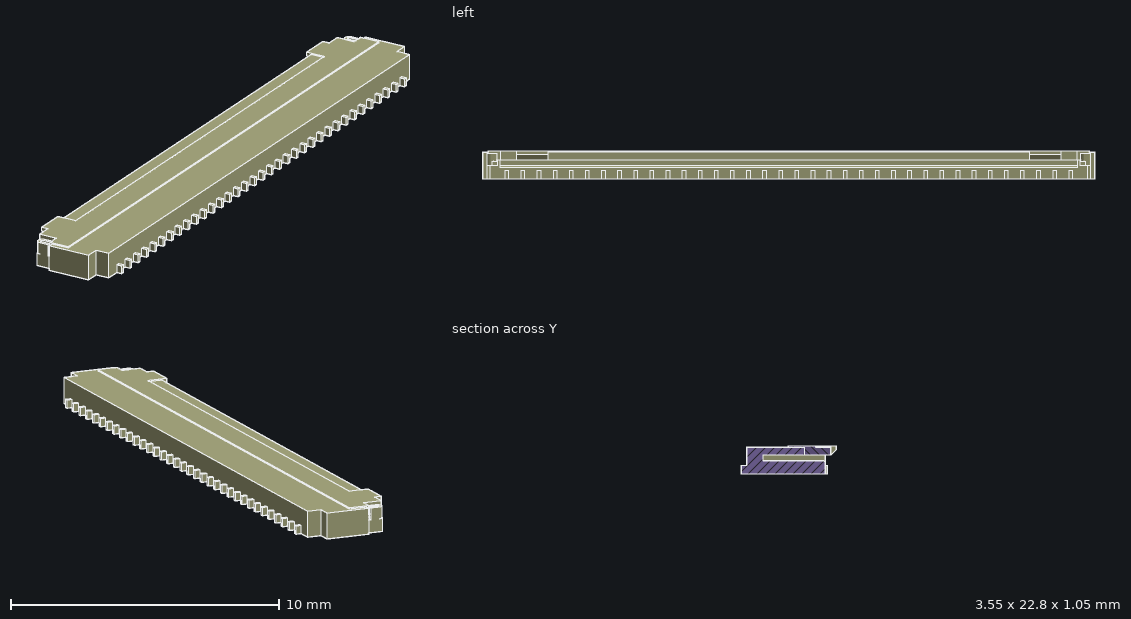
import cadquery as cq

length = 22.8
depth = 3.55
height = 1.05

housing_top = 1.0
housing_front = 0.4
housing_rear = 3.35
body_half_length = 10.85
ear_front = 1.1
ear_rear = 2.8
roof_front = 1.19
cheek_half_length = 11.13
slot_wall = 0.1

slot_half_length = 10.76
slot_floor = 0.5
slot_roof = 0.7
slot_end = 2.74
slot_lead_in = 0.07

rear_row_span = 20.4
front_contact_count = 36
rear_contact_count = front_contact_count - 1
contact_pitch = rear_row_span / (rear_contact_count - 1)
contact_width = 0.14
contact_height = 0.32
front_contact_reach = 0.07

lever_bottom = slot_roof
lever_rear = 1.8
lever_half_length = 11.2
lever_front = 0.27
lever_front_half_length = 10.75
lever_notch_rear = 1.0
tab_outer_end = 10.15
tab_inner_end = 8.95
tab_face_bottom = 0.91
lip_front = 0.2
lip_rear = 0.78
lip_top = housing_top

hook_thickness = 0.11
hook_setback = 0.05
hook_outer_face = cheek_half_length + hook_thickness
hook_front = housing_front + hook_setback
hook_rear = 1.23
tongue_rear = 0.93
tongue_bottom = 0.65
tongue_top = 0.95
bend_radius = 0.18
bend_center_x = housing_front + bend_radius
bend_center_y = hook_outer_face - bend_radius


def box(x_range, y_range, z_range):
    """A block between two corners."""
    return cq.Workplane("XY").box(
        x_range[1] - x_range[0],
        y_range[1] - y_range[0],
        z_range[1] - z_range[0],
        centered=False,
    ).translate((x_range[0], y_range[0], z_range[0]))


def long_box(x_range, half_length, z_range):
    """A block centred on Y = 0."""
    return box(x_range, (-half_length, half_length), z_range)


def side_profile(points, y_range):
    """An XZ outline extruded from the first to the second Y value."""
    outline = cq.Workplane("XZ", origin=(0, y_range[0], 0)).polyline(points).close()
    return outline.extrude(y_range[0] - y_range[1])


def with_mirror(shape):
    """A shape together with its mirror image across Y = 0."""
    return shape.union(shape.mirror("XZ"))


def contact_row(count, x_range):
    """Solder tails in one row, moulded into the housing."""
    row = cq.Workplane("XY")
    first_y = -contact_pitch * (count - 1) / 2
    for i in range(count):
        y = first_y + i * contact_pitch
        tail = box(x_range, (y - contact_width / 2, y + contact_width / 2), (0, contact_height))
        row = row.add(tail)
    return row.combine()


def cable_slot():
    """Slot for the flat cable, with a sloped lead-in on its floor."""
    lead_in_end = housing_front + slot_lead_in
    profile = [
        (housing_front, slot_floor - slot_lead_in),
        (lead_in_end, slot_floor),
        (slot_end, slot_floor),
        (slot_end, slot_roof),
        (housing_front, slot_roof),
    ]
    return side_profile(profile, (-slot_half_length, slot_half_length))


def folded_tongue():
    """U-shaped strip folded back about an upright axis, its inner half trimmed at the bottom."""
    inner_radius = bend_radius - hook_thickness
    inner_face = bend_center_y - bend_radius
    strip = (
        cq.Workplane("XY", origin=(0, 0, slot_floor))
        .moveTo(tongue_rear, inner_face)
        .lineTo(bend_center_x, inner_face)
        .threePointArc((housing_front, bend_center_y), (bend_center_x, hook_outer_face))
        .lineTo(tongue_rear, hook_outer_face)
        .lineTo(tongue_rear, bend_center_y + inner_radius)
        .lineTo(bend_center_x, bend_center_y + inner_radius)
        .threePointArc(
            (bend_center_x - inner_radius, bend_center_y),
            (bend_center_x, bend_center_y - inner_radius),
        )
        .lineTo(tongue_rear, bend_center_y - inner_radius)
        .close()
        .extrude(tongue_top - slot_floor)
    )
    trim = box(
        (housing_front, tongue_rear), (inner_face, bend_center_y), (slot_floor, tongue_bottom)
    )
    return strip.cut(trim)


def corner_hook():
    """Upright foot beside the housing cheek that carries the folded tongue."""
    foot = box((hook_front, hook_rear), (cheek_half_length, hook_outer_face), (0, slot_floor))
    return foot.union(folded_tongue())


def make_housing():
    """Housing with its ears, cable slot, solder tails and corner hooks."""
    body = long_box((roof_front, housing_rear), body_half_length, (0, housing_top))
    base = long_box((housing_front, roof_front), cheek_half_length, (0, slot_floor))
    slot_sides = long_box((housing_front, roof_front), slot_half_length + slot_wall, (0, slot_roof))
    ears = long_box((ear_front, ear_rear), length / 2, (0, housing_top))
    lever_pocket = long_box((ear_front, roof_front), lever_half_length, (slot_roof, housing_top))
    housing = body.union(base).union(slot_sides).union(ears).cut(lever_pocket).cut(cable_slot())
    front_tails = contact_row(
        front_contact_count, (housing_front - front_contact_reach, housing_front)
    )
    rear_tails = contact_row(rear_contact_count, (housing_rear, depth))
    return housing.union(front_tails).union(rear_tails).union(with_mirror(corner_hook()))


def lever_tab():
    """Finger tab with a sloped underside."""
    profile = [
        (0, height),
        (0, tab_face_bottom),
        (lip_front, lever_bottom),
        (lip_rear, lever_bottom),
        (lip_rear, height),
    ]
    return side_profile(profile, (tab_inner_end, tab_outer_end))


def make_lever():
    """Cover over the cable slot: thin rear flap, full-height front bar, stepped lip and two tabs."""
    bar = long_box((lever_front, roof_front), lever_front_half_length, (lever_bottom, height))
    ends = long_box((lever_notch_rear, roof_front), lever_half_length, (lever_bottom, height))
    flap = long_box((roof_front, lever_rear), lever_half_length, (housing_top, height))
    lip = long_box((lip_front, lip_rear), tab_inner_end, (lever_bottom, lip_top))
    lip_recess = long_box((lever_front, lip_rear), tab_inner_end, (lip_top, height))
    return bar.union(ends).union(flap).cut(lip_recess).union(lip).union(with_mirror(lever_tab()))


housing = make_housing()
lever = make_lever()

result = cq.Compound.makeCompound([housing.solids().val(), lever.solids().val()])